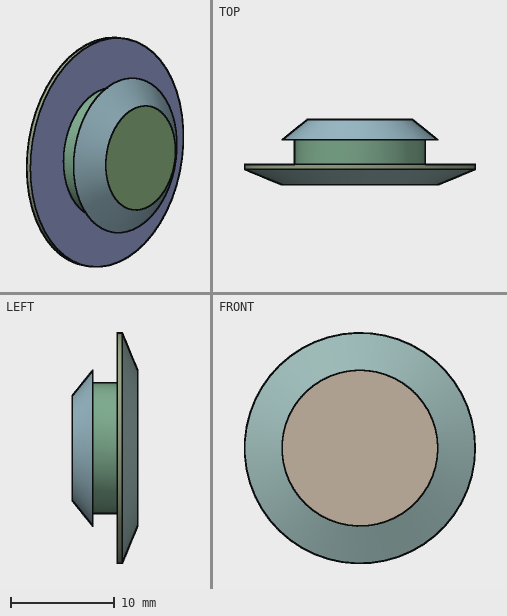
import cadquery as cq

flange_diameter = 22.35
face_diameter = 15.09
neck_diameter = 12.7
barb_diameter = 15.09
tip_diameter = 10.17

total_length = 6.35
bevel_length = 1.5
rim_length = 0.5
barb_length = 2.0

rim_start = bevel_length
neck_start = rim_start + rim_length
barb_start = total_length - barb_length

half_section = [
    (0, 0),
    (face_diameter / 2, 0),
    (flange_diameter / 2, rim_start),
    (flange_diameter / 2, neck_start),
    (neck_diameter / 2, neck_start),
    (neck_diameter / 2, barb_start),
    (barb_diameter / 2, barb_start),
    (tip_diameter / 2, total_length),
    (0, total_length),
]

result = (
    cq.Workplane("XY")
    .polyline(half_section)
    .close()
    .revolve(360, (0, 0, 0), (0, 1, 0))
)